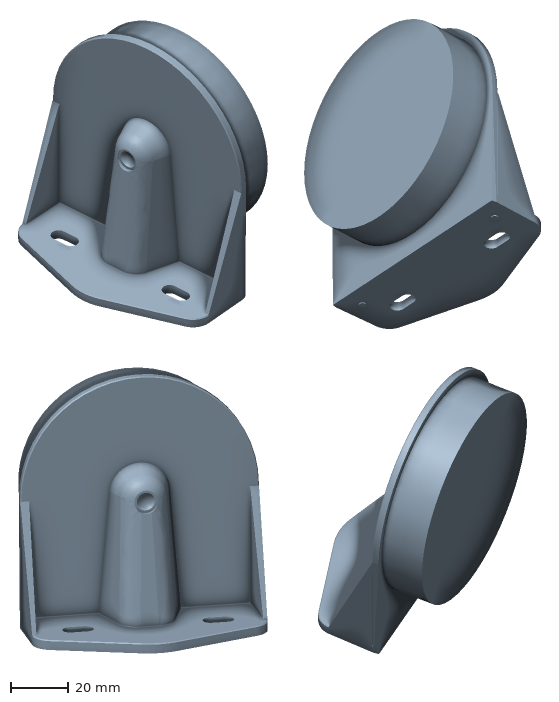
import cadquery as cq
import math

overall_width = 85.0
overall_height = 90.5
overall_depth = 53.0
half_width = overall_width / 2

plate_thickness = 2.6
foot_height = 0.4
arch_z = overall_height - foot_height - half_width

relief_width = 0.4
relief_depth = 1.8

drum_depth = 15.6
drum_root_radius = 39.6
drum_tip_radius = 39.55

base_thickness = 3.6
base_tip_y = drum_depth - overall_depth
base_half_width_front = 41.7
base_corner_radius = 7.2
base_tip_radius = 20.45
base_slope = math.radians(18)
base_point_y = base_tip_y - base_tip_radius * (1 / math.cos(base_slope) - 1)
base_shoulder_y = base_point_y + base_half_width_front * math.tan(base_slope)

slot_length = 11.1
slot_width = 5.5
slot_x = 25.0
slot_y = -17.3

foot_diameter = 2.7
foot_x = 35.1
foot_y = -7.6

rib_tip_y = -19.9
rib_top_z = 46.9
rib_root_inner_x = 39.4
rib_tip_inner_x = 40.4

boss_arch_radius = 10.8
boss_lean = math.radians(4.9)
boss_draft = math.radians(20.5)
boss_tip_y = -13.9
boss_foot_y = -19.7
boss_edge_radius = 7.1
boss_tip_radius = boss_arch_radius - (-plate_thickness - boss_tip_y) * math.tan(boss_draft)
boss_seam_z = arch_z + boss_arch_radius * math.sin(boss_lean)

recess_diameter = 8.2
dimple_diameter = 6.4
recess_floor_y = -13.2
dimple_depth = 1.8

rim_chamfer = 0.4
root_fillet = 0.45

margin = 0.9
tolerance = 0.01

plate_front_y = -plate_thickness
side_draft_y = plate_front_y + rim_chamfer


def edges_between(y_min, y_max, z_min, z_max, x_max=half_width):
    """Selector for edges centred within the given limits, symmetric about X = 0."""
    return cq.selectors.BoxSelector((-x_max, y_min, z_min), (x_max, y_max, z_max))


def side_x_at(y):
    """Half width of the drafted outer sides at a given Y."""
    draft = (half_width - base_half_width_front) / (side_draft_y - base_shoulder_y)
    return half_width - draft * (side_draft_y - y)


def make_plate():
    """Arched back plate with its curved front rim broken."""
    plate = (
        cq.Workplane("XZ")
        .moveTo(-half_width, 0)
        .lineTo(-half_width, arch_z)
        .threePointArc((0, arch_z + half_width), (half_width, arch_z))
        .lineTo(half_width, 0)
        .close()
        .extrude(plate_thickness)
    )
    return plate.faces("<Y").edges("%CIRCLE").chamfer(rim_chamfer)


def make_corner_relief(side):
    """Sliver off a rear side corner, growing from nothing at the arch to the underside."""
    top = cq.Vector(side * half_width, 0, arch_z)
    corner = cq.Vector(side * half_width, 0, 0)
    rear = cq.Vector(side * (half_width - relief_width), 0, 0)
    outer = cq.Vector(side * half_width, -relief_depth, 0)
    faces = [
        cq.Face.makeFromWires(cq.Wire.makePolygon(points, close=True))
        for points in (
            (corner, rear, outer),
            (top, corner, rear),
            (top, corner, outer),
            (top, rear, outer),
        )
    ]
    return cq.Workplane(cq.Solid.makeSolid(cq.Shell.makeShell(faces)))


def make_drum():
    """Slightly tapered round drum."""
    return (
        cq.Workplane("XY")
        .moveTo(0, plate_front_y / 2)
        .lineTo(drum_root_radius, plate_front_y / 2)
        .lineTo(drum_root_radius, 0)
        .lineTo(drum_tip_radius, drum_depth)
        .lineTo(0, drum_depth)
        .close()
        .revolve(360, (0, 0, 0), (0, 1, 0))
        .translate((0, 0, arch_z))
    )


def make_base():
    """Base plate with narrowing sides, round corners and a blunt pointed front."""
    base = (
        cq.Workplane("XY")
        .polyline([
            (-half_width, 0),
            (-half_width, side_draft_y),
            (-base_half_width_front, base_shoulder_y),
            (0, base_point_y),
            (base_half_width_front, base_shoulder_y),
            (half_width, side_draft_y),
            (half_width, 0),
        ])
        .close()
        .extrude(base_thickness)
    )
    base = base.edges("|Z").edges("<Y").fillet(base_tip_radius)
    corners = edges_between(base_shoulder_y - margin, base_shoulder_y + margin, 0, base_thickness)
    base = base.edges("|Z").edges(corners).fillet(base_corner_radius)
    front_rim = edges_between(base_tip_y - margin, rib_tip_y, base_thickness - margin, base_thickness + margin)
    return base.faces(">Z").edges(front_rim).chamfer(rim_chamfer)


def make_rib(side):
    """Triangular side rib, thinner towards its tip; side is -1 or +1."""
    footprint = (
        cq.Workplane("XY")
        .polyline([
            (side * side_x_at(plate_front_y), plate_front_y),
            (side * side_x_at(rib_tip_y), rib_tip_y),
            (side * rib_tip_inner_x, rib_tip_y),
            (side * rib_root_inner_x, plate_front_y),
        ])
        .close()
        .extrude(rib_top_z)
    )
    triangle = (
        cq.Workplane("YZ")
        .polyline([
            (plate_front_y, 0),
            (plate_front_y, rib_top_z),
            (rib_tip_y, base_thickness),
            (rib_tip_y, 0),
        ])
        .close()
        .extrude(half_width, both=True)
    )
    return footprint.intersect(triangle)


def make_boss_cap():
    """Top of the boss: a cone with a rounded flat tip, revolved about the axis of the arch."""
    flat_radius = boss_tip_radius - boss_edge_radius * math.tan(math.pi / 4 - boss_draft / 2)
    round_end_y = boss_tip_y + boss_edge_radius * (1 - math.sin(boss_draft))
    round_end_radius = flat_radius + boss_edge_radius * math.cos(boss_draft)
    cap = (
        cq.Workplane("XY")
        .moveTo(0, plate_front_y)
        .lineTo(boss_arch_radius, plate_front_y)
        .lineTo(round_end_radius, round_end_y)
        .radiusArc((flat_radius, boss_tip_y), boss_edge_radius)
        .lineTo(0, boss_tip_y)
        .close()
        .revolve(360, (0, 0, 0), (0, 1, 0))
        .translate((0, 0, arch_z))
    )
    upper_half = (
        cq.Workplane("XY")
        .workplane(offset=boss_seam_z)
        .rect(overall_width, overall_depth * 2)
        .extrude(overall_height)
    )
    return cap.intersect(upper_half)


def make_boss_leg():
    """Lower part of the boss: sides lean out towards the base and the rounded front slopes."""
    front_slope = (boss_tip_y - boss_foot_y) / (boss_seam_z - base_thickness)

    def front_y_at(z):
        return boss_tip_y - front_slope * (boss_seam_z - z)

    def outline(z):
        """Corners of a level cut through the leg at height z, before rounding."""
        plate_x = boss_arch_radius / math.cos(boss_lean) - (z - arch_z) * math.tan(boss_lean)
        inset = (plate_front_y - front_y_at(z)) * math.tan(boss_draft) / math.cos(boss_lean)
        return [
            cq.Vector(-plate_x, plate_front_y, z),
            cq.Vector(-plate_x + inset, front_y_at(z), z),
            cq.Vector(plate_x - inset, front_y_at(z), z),
            cq.Vector(plate_x, plate_front_y, z),
        ]

    ends = [cq.Wire.makePolygon(outline(z), close=True) for z in (0, boss_seam_z)]
    leg = cq.Workplane(cq.Solid.makeLoft(ends, True))
    long_edges = edges_between(boss_foot_y, plate_front_y - margin, tolerance, boss_seam_z - tolerance)
    return leg.edges(long_edges).fillet(boss_edge_radius)


def make_dimple():
    """Shallow flat recess with a spherical dimple in it, on the axis of the arch."""
    recess_radius = recess_diameter / 2
    dimple_radius = dimple_diameter / 2
    sphere_radius = (dimple_radius**2 + dimple_depth**2) / (2 * dimple_depth)
    return (
        cq.Workplane("XY")
        .moveTo(0, boss_foot_y)
        .lineTo(recess_radius, boss_foot_y)
        .lineTo(recess_radius, recess_floor_y)
        .lineTo(dimple_radius, recess_floor_y)
        .radiusArc((0, recess_floor_y + dimple_depth), -sphere_radius)
        .close()
        .revolve(360, (0, 0, 0), (0, 1, 0))
        .translate((0, 0, arch_z))
    )


def make_slots():
    """Two mounting slots through the base, lengthwise along X."""
    return (
        cq.Workplane("XY")
        .pushPoints([(-slot_x, slot_y), (slot_x, slot_y)])
        .slot2D(slot_length, slot_width)
        .extrude(base_thickness)
    )


def make_feet():
    """Two small pads under the base."""
    return (
        cq.Workplane("XY")
        .workplane(offset=-foot_height)
        .pushPoints([(-foot_x, foot_y), (foot_x, foot_y)])
        .circle(foot_diameter / 2)
        .extrude(foot_height + base_thickness / 2)
    )


result = make_plate().union(make_drum()).union(make_base()).union(make_feet())
for side in (-1, 1):
    result = result.union(make_rib(side))
result = result.union(make_boss_leg().union(make_boss_cap()))

floor_z_limits = (base_thickness - tolerance, base_thickness + tolerance)
floor_edges = edges_between(boss_foot_y - margin, plate_front_y + tolerance, *floor_z_limits)
rib_tips = edges_between(rib_tip_y - tolerance, rib_tip_y + tolerance, *floor_z_limits)
rib_edges = edges_between(
    plate_front_y - tolerance,
    plate_front_y + tolerance,
    base_thickness + margin,
    rib_top_z,
    x_max=rib_tip_inner_x,
)
root_edges = result.edges(floor_edges - rib_tips).vals() + result.edges("|Z").edges(rib_edges).vals()
result = result.newObject(root_edges).fillet(root_fillet)
for side in (-1, 1):
    result = result.cut(make_corner_relief(side))
result = result.cut(make_dimple()).cut(make_slots())